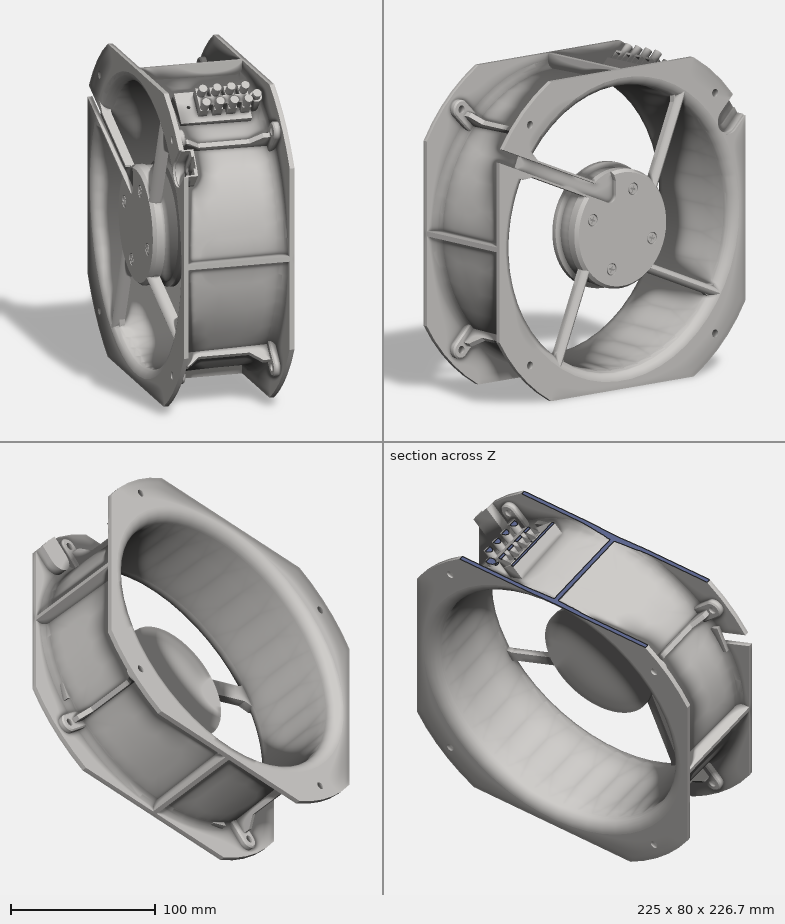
import cadquery as cq
import math

FRAME_WIDTH = 225.0
FRAME_CORNER_RADIUS = 130.0
FRAME_DEPTH = 80.0
FLANGE_THICKNESS = 3.5
HOLE_SPACING = 169.5
HOLE_DIAMETER = 5.5

DUCT_STRAIGHT_HALF = 31.3
DUCT_OUTER_FRONT = 104.0
DUCT_OUTER_REAR = 102.5
DUCT_WALL = 3.8
MOUTH_INNER_RADIUS = 106.8
MOUTH_OUTER_RADIUS = 108.2

RIB_THICKNESS = 3.5
EAR_RADIUS = 6.5
EAR_THICKNESS = 4.5
EAR_CHAMFER = 1.0
BRACE_OUTER_RADIUS = 114.8
BRACE_WAIST_RADIUS = 108.0
BRACE_WAIST_HALF = 18.4
BRACE_SHOULDER_HALF = 27.0

HUB_FACE_RADIUS = 40.0
HUB_PLATE_RADIUS = 42.0
HUB_PLATE_THICKNESS = 8.5
HUB_PLATE_SLOPE = 2.5
HUB_BODY_RADIUS = 41.0
HUB_RIM_RADIUS = 44.3
HUB_RIM_THICKNESS = 3.5
HUB_RIM_SLOPE = 1.5
HUB_DEPTH = 23.0

SPOKE_ANGLE = 67.5
SPOKE_OFFSET = 18.5
SPOKE_WIDTH = 6.8
SPOKE_DEPTH = 8.0
SPOKE_NOSE = 4.0
SPOKE_ARCH_BULGE = 0.7
SPOKE_OUTER_REACH = 104.2
SPOKE_INNER_REACH = 30.0
FOOT_START = 95.0
FOOT_HALF_WIDTH = 6.5
FOOT_DROP = 4.0

CHANNEL_WIDTH = 9.4
CHANNEL_DEPTH = 3.5
CHANNEL_WALL = 1.4
CHANNEL_FLOOR = 3.0
ARM_REACH = 107.0
ARM_FLARE = 4.0
ARM_FLARE_START = 94.0
ARM_FLARE_END = 102.0
POCKET_START_X = -24.0
POCKET_END_X = -6.0
POCKET_END_Z = 35.0
POCKET_TIP_X = -9.6
POCKET_CORNER_RADIUS = 5.0

SCREW_CIRCLE_RADIUS = 28.8
SCREW_ANGLE = 70.0
SCREW_HEAD_RADIUS = 4.4
SCREW_GAP = 0.8
SCREW_RECESS_DEPTH = 1.5
CROSS_LENGTH = 5.0
CROSS_WIDTH = 1.3
CROSS_DEPTH = 1.2

WIRE_X = 97.0
WIRE_Z = 63.7
WIRE_RUNOUT = 56.0
WIRE_MOUTH_RADIUS = 9.7
WIRE_MOUTH_DEPTH = 1.6
WIRE_GROOVE_RADIUS = 8.7
WIRE_GROOVE_DEPTH = 8.0
WIRE_SLOT_RADIUS = 4.2
WIRE_SLOT_DEPTH = 9.6
WIRE_HOUSING_DEPTH = 10.4

TERMINAL_AXIS_ANGLE = 45.0
TERMINAL_PITCH = 10.2
TERMINAL_COUNT = 4
TERMINAL_FIRST_Y = -9.5
BASE_LEFT = -43.8
BASE_RIGHT = -19.6
BASE_TOP = 105.2
BASE_BOTTOM = 90.0
BASE_FRONT_Y = -25.8
BASE_REAR_Y = 25.5
BODY_LEFT = -41.9
BODY_RIGHT = -24.1
BODY_TOP = 113.2
TERMINAL_LENGTH = 6.2
WEB_LEFT = -34.9
WEB_RIGHT = -28.5
WINDOW_BOTTOM = 106.0
WINDOW_TOP = 111.6
WINDOW_LENGTH = 4.8
WINDOW_BACK = -36.0
POST_RADIUS = 2.9
POST_TOP = 121.2
INNER_POST_ACROSS = -37.35
OUTER_POST_ACROSS = -26.6
KNOB_Y = 29.5
KNOB_RADIUS = 4.3
KNOB_ACROSS = -32.5
KNOB_TOP = 112.0
KNOB_TIP_RADIUS = 3.0
KNOB_TIP_TOP = 117.0
PIN_HOLE_ACROSS = -32.0
PIN_HOLE_Y = -17.8
PIN_HOLE_RADIUS = 1.3
PIN_HOLE_DEPTH = 4.0

HALF_DEPTH = FRAME_DEPTH / 2
FRONT_Y = -HALF_DEPTH
FLANGE_INNER_Y = HALF_DEPTH - FLANGE_THICKNESS
HALF_WIDTH = FRAME_WIDTH / 2
QUARTER_ANGLES = [0, 90, 180, 270]
CORNER_ANGLE = 45
ARM_ANGLE = SPOKE_ANGLE + 90
DUCT_INNER_FRONT = DUCT_OUTER_FRONT - DUCT_WALL
DUCT_INNER_REAR = DUCT_OUTER_REAR - DUCT_WALL


def front_plane(y):
    """Sketch plane at height y whose axes are X and Z; positive extrusion goes towards -Y."""
    return cq.Workplane("XZ", origin=(0, y, 0))


def turn(shape, angle):
    """Turn about the fan axis, from +X towards +Z."""
    return shape.rotate((0, 0, 0), (0, 1, 0), -angle)


def box(x_range, y_range, z_range):
    """Box between the given limits."""
    x0, x1 = x_range
    y0, y1 = y_range
    z0, z1 = z_range
    return cq.Workplane("XY").box(x1 - x0, y1 - y0, z1 - z0, centered=False).translate((x0, y0, z0))


def y_cylinder(radius, y0, y1, x=0.0, z=0.0):
    """Cylinder along Y from y0 up to y1."""
    return front_plane(y1).center(x, z).circle(radius).extrude(y1 - y0)


def flange(y0):
    """Square plate whose corners are cut by a large circle."""
    square = box((-HALF_WIDTH, HALF_WIDTH), (y0, y0 + FLANGE_THICKNESS), (-HALF_WIDTH, HALF_WIDTH))
    return square.intersect(y_cylinder(FRAME_CORNER_RADIUS, y0, y0 + FLANGE_THICKNESS))


def arc_middle(wall_radius, wall_y, mouth_radius, mouth_y):
    """Middle point of a quarter ellipse that leaves the wall axially and flares outwards."""
    quarter = math.sqrt(0.5)
    radius = mouth_radius - (mouth_radius - wall_radius) * quarter
    return radius, wall_y + (mouth_y - wall_y) * quarter


def duct_solid():
    """Outside of the tapered wall and its two bellmouths, revolved about Y; it ends inside the flanges."""
    s = DUCT_STRAIGHT_HALF
    root = MOUTH_OUTER_RADIUS
    inner_y = FLANGE_INNER_Y
    end_y = FLANGE_INNER_Y + FLANGE_THICKNESS / 2
    profile = (
        cq.Workplane("XY")
        .moveTo(0, -end_y)
        .lineTo(root, -end_y)
        .lineTo(root, -inner_y)
        .threePointArc(arc_middle(DUCT_OUTER_FRONT, -s, root, -inner_y), (DUCT_OUTER_FRONT, -s))
        .lineTo(DUCT_OUTER_REAR, s)
        .threePointArc(arc_middle(DUCT_OUTER_REAR, s, root, inner_y), (root, inner_y))
        .lineTo(root, end_y)
        .lineTo(0, end_y)
        .close()
    )
    return profile.revolve(360, (0, 0, 0), (0, 1, 0))


def mouth_opening():
    """Flared air passage through both flanges."""
    s = DUCT_STRAIGHT_HALF
    mouth = MOUTH_INNER_RADIUS
    profile = (
        cq.Workplane("XY")
        .moveTo(0, -HALF_DEPTH)
        .lineTo(mouth, -HALF_DEPTH)
        .threePointArc(arc_middle(DUCT_INNER_FRONT, -s, mouth, -HALF_DEPTH), (DUCT_INNER_FRONT, -s))
        .lineTo(DUCT_INNER_REAR, s)
        .threePointArc(arc_middle(DUCT_INNER_REAR, s, mouth, HALF_DEPTH), (mouth, HALF_DEPTH))
        .lineTo(0, HALF_DEPTH)
        .close()
    )
    return profile.revolve(360, (0, 0, 0), (0, 1, 0))


def edge_rib():
    """Flat rib between the flanges in the middle of the +X side."""
    half = RIB_THICKNESS / 2
    return box((DUCT_INNER_FRONT, HALF_WIDTH), (-HALF_DEPTH, HALF_DEPTH), (-half, half))


def corner_brace():
    """Waisted radial plate between the two ears of a corner, drawn along +X."""
    outer = BRACE_OUTER_RADIUS
    waist = BRACE_WAIST_RADIUS
    shoulder_y = BRACE_SHOULDER_HALF
    waist_y = BRACE_WAIST_HALF
    outline = [
        (DUCT_INNER_FRONT, -HALF_DEPTH),
        (outer, -HALF_DEPTH),
        (outer, -shoulder_y),
        (waist, -waist_y),
        (waist, waist_y),
        (outer, shoulder_y),
        (outer, HALF_DEPTH),
        (DUCT_INNER_FRONT, HALF_DEPTH),
    ]
    return cq.Workplane("XY").polyline(outline).close().extrude(RIB_THICKNESS / 2, both=True)


def corner_ear(side):
    """Round-ended boss behind a mounting hole; side is -1 at the front flange, +1 at the rear."""
    hole_radius = HOLE_SPACING / math.sqrt(2)
    inner = DUCT_INNER_FRONT
    tip_y = FLANGE_INNER_Y - EAR_THICKNESS
    ear = (
        front_plane(FLANGE_INNER_Y)
        .moveTo(inner, -EAR_RADIUS)
        .lineTo(hole_radius, -EAR_RADIUS)
        .threePointArc((hole_radius + EAR_RADIUS, 0), (hole_radius, EAR_RADIUS))
        .lineTo(inner, EAR_RADIUS)
        .close()
        .extrude(FLANGE_INNER_Y - tip_y)
        .faces("<Y")
        .chamfer(EAR_CHAMFER)
    )
    if side < 0:
        ear = ear.mirror("XZ")
    return ear


def mounting_holes():
    """Four holes right through both flanges and the ears."""
    half = HOLE_SPACING / 2
    spots = [(sx * half, sz * half) for sx in (-1, 1) for sz in (-1, 1)]
    return front_plane(HALF_DEPTH).pushPoints(spots).circle(HOLE_DIAMETER / 2).extrude(FRAME_DEPTH)


def frame():
    """Two flanges tied together by the duct, ribs, braces and ears, with the air passage cut through."""
    body = duct_solid().union(flange(FRONT_Y)).union(flange(FLANGE_INNER_Y))
    for angle in QUARTER_ANGLES:
        corner = corner_brace().union(corner_ear(1)).union(corner_ear(-1))
        body = body.union(turn(edge_rib(), angle)).union(turn(corner, angle + CORNER_ANGLE))
    body = body.union(wire_housing())
    body = body.union(turn(terminal_block(), TERMINAL_AXIS_ANGLE - 90))
    return body.cut(mouth_opening()).cut(mounting_holes()).cut(wire_groove())


def hub():
    """Solid motor hub: cover plate with a sloped edge, cylindrical body and rear rim, revolved about Y."""
    plate_y = FRONT_Y + HUB_PLATE_THICKNESS
    rear_y = FRONT_Y + HUB_DEPTH
    rim_y = rear_y - HUB_RIM_THICKNESS
    profile = [
        (0, FRONT_Y),
        (HUB_FACE_RADIUS, FRONT_Y),
        (HUB_PLATE_RADIUS, FRONT_Y + HUB_PLATE_SLOPE),
        (HUB_PLATE_RADIUS, plate_y),
        (HUB_BODY_RADIUS, plate_y),
        (HUB_BODY_RADIUS, rim_y - HUB_RIM_SLOPE),
        (HUB_RIM_RADIUS, rim_y),
        (HUB_RIM_RADIUS, rear_y),
        (0, rear_y),
    ]
    return cq.Workplane("XY").polyline(profile).close().revolve(360, (0, 0, 0), (0, 1, 0))


def spoke():
    """Bar with a pointed-arch front along +X, before it is turned to its place."""
    half = SPOKE_WIDTH / 2
    back = FRONT_Y + SPOKE_DEPTH
    nose_y = FRONT_Y + SPOKE_NOSE
    slope = math.atan2(SPOKE_NOSE, half)
    arch_y = FRONT_Y + SPOKE_NOSE / 2 - SPOKE_ARCH_BULGE * math.cos(slope)
    arch_z = half / 2 + SPOKE_ARCH_BULGE * math.sin(slope)
    return (
        cq.Workplane("YZ", origin=(SPOKE_INNER_REACH, 0, 0))
        .center(0, -SPOKE_OFFSET)
        .moveTo(back, -half)
        .lineTo(nose_y, -half)
        .threePointArc((arch_y, -arch_z), (FRONT_Y, 0))
        .threePointArc((arch_y, arch_z), (nose_y, half))
        .lineTo(back, half)
        .close()
        .extrude(SPOKE_OUTER_REACH - SPOKE_INNER_REACH)
    )


def spoke_foot():
    """Wedge-shaped widening of the outer end of a spoke, along +X before turning."""
    half = SPOKE_WIDTH / 2
    outline = [
        (FOOT_START, -half),
        (SPOKE_OUTER_REACH, -FOOT_HALF_WIDTH),
        (SPOKE_OUTER_REACH, FOOT_HALF_WIDTH),
        (FOOT_START, half),
    ]
    back = front_plane(FRONT_Y + SPOKE_DEPTH).center(0, -SPOKE_OFFSET)
    return back.polyline(outline).close().extrude(SPOKE_DEPTH - FOOT_DROP)


def cable_arm():
    """Wide arm that carries the cable channel, flared where it joins the frame, along +X before turning."""
    half = CHANNEL_WIDTH / 2 + CHANNEL_WALL
    wide = half + ARM_FLARE
    outline = [
        (SPOKE_INNER_REACH, -half),
        (ARM_FLARE_START, -half),
        (ARM_FLARE_END, -wide),
        (ARM_REACH, -wide),
        (ARM_REACH, wide),
        (ARM_FLARE_END, wide),
        (ARM_FLARE_START, half),
        (SPOKE_INNER_REACH, half),
    ]
    depth = CHANNEL_DEPTH + CHANNEL_FLOOR
    return front_plane(FRONT_Y + depth).center(0, -SPOKE_OFFSET).polyline(outline).close().extrude(depth)


def cable_channel():
    """Straight groove of the cable arm, open at the frame edge."""
    half = CHANNEL_WIDTH / 2
    z_range = (-SPOKE_OFFSET - half, -SPOKE_OFFSET + half)
    return box((SPOKE_INNER_REACH, FRAME_CORNER_RADIUS), (FRONT_Y, FRONT_Y + CHANNEL_DEPTH), z_range)


def hub_pocket():
    """Widening of the channel in the hub face, open at the hub rim."""
    angle = math.radians(ARM_ANGLE)
    lower_offset = SPOKE_OFFSET - CHANNEL_WIDTH / 2
    corner_z = (POCKET_END_X * math.sin(angle) - lower_offset) / math.cos(angle)
    start_z = (POCKET_START_X * math.sin(angle) - lower_offset) / math.cos(angle)
    outline = [
        (POCKET_START_X, start_z),
        (POCKET_END_X, corner_z),
        (POCKET_END_X, POCKET_END_Z),
        (POCKET_TIP_X, HUB_RIM_RADIUS),
        (POCKET_START_X, HUB_RIM_RADIUS),
    ]
    pocket = front_plane(FRONT_Y + CHANNEL_DEPTH).polyline(outline).close().extrude(CHANNEL_DEPTH)
    corner = cq.selectors.NearestToPointSelector((POCKET_END_X, FRONT_Y, corner_z))
    return pocket.edges("|Y").edges(corner).fillet(POCKET_CORNER_RADIUS)


def screw_recess():
    """Ring gap around a screw head and the cross slot in it, on +X before turning."""
    y0 = FRONT_Y
    y1 = FRONT_Y + SCREW_RECESS_DEPTH
    x = SCREW_CIRCLE_RADIUS
    ring = y_cylinder(SCREW_HEAD_RADIUS, y0, y1, x=x)
    ring = ring.cut(y_cylinder(SCREW_HEAD_RADIUS - SCREW_GAP, y0, y1, x=x))
    long = CROSS_LENGTH / 2
    short = CROSS_WIDTH / 2
    y_range = (y0, y0 + CROSS_DEPTH)
    cross = box((x - long, x + long), y_range, (-short, short))
    cross = cross.union(box((x - short, x + short), y_range, (-long, long)))
    return ring.union(cross)


def add_hub(body):
    """Hub on three spokes and the cable arm, with channel and screw recesses."""
    body = body.union(hub())
    for quarter in QUARTER_ANGLES:
        angle = SPOKE_ANGLE + quarter
        if angle != ARM_ANGLE:
            body = body.union(turn(spoke(), angle)).union(turn(spoke_foot(), angle))
    body = body.union(turn(cable_arm(), ARM_ANGLE))
    body = body.cut(turn(cable_channel(), ARM_ANGLE)).cut(hub_pocket())
    for quarter in QUARTER_ANGLES:
        body = body.cut(turn(screw_recess(), SCREW_ANGLE + quarter))
    return body


def wire_slot(y, radius):
    """U outline on a plane at y: round end at the local origin, open along local +X."""
    plane = front_plane(y).center(WIRE_X, WIRE_Z).transformed(rotate=(0, 0, CORNER_ANGLE))
    return (
        plane.moveTo(WIRE_RUNOUT, radius)
        .lineTo(0, radius)
        .threePointArc((-radius, 0), (0, -radius))
        .lineTo(WIRE_RUNOUT, -radius)
        .close()
    )


def wire_housing():
    """Solid around the wire exit, behind the +X +Z corner of the front flange."""
    y_range = (FRONT_Y, FRONT_Y + WIRE_HOUSING_DEPTH)
    housing = wire_slot(y_range[1], WIRE_MOUTH_RADIUS).extrude(WIRE_HOUSING_DEPTH)
    corner = box((0, HALF_WIDTH), y_range, (0, HALF_WIDTH))
    return housing.intersect(corner).intersect(y_cylinder(FRAME_CORNER_RADIUS, *y_range))


def wire_groove():
    """Stepped groove: wide shallow mouth, deep groove and a narrow slot along its floor."""
    mouth = wire_slot(FRONT_Y + WIRE_MOUTH_DEPTH, WIRE_MOUTH_RADIUS).extrude(WIRE_MOUTH_DEPTH)
    groove = wire_slot(FRONT_Y + WIRE_GROOVE_DEPTH, WIRE_GROOVE_RADIUS).extrude(WIRE_GROOVE_DEPTH)
    slot = wire_slot(FRONT_Y + WIRE_SLOT_DEPTH, WIRE_SLOT_RADIUS).extrude(WIRE_SLOT_DEPTH)
    return mouth.union(groove).union(slot)


def post(across, y, radius, bottom, top):
    """Cylinder along Z between two heights."""
    return cq.Workplane("XY", origin=(across, y, bottom)).circle(radius).extrude(top - bottom)


def terminal(y):
    """One terminal: body with a window in its left side and two screw posts on top."""
    half = TERMINAL_LENGTH / 2
    body = box((BODY_LEFT, BODY_RIGHT), (y - half, y + half), (BASE_TOP, BODY_TOP))
    window_y = (y - WINDOW_LENGTH / 2, y + WINDOW_LENGTH / 2)
    body = body.cut(box((BODY_LEFT, WINDOW_BACK), window_y, (WINDOW_BOTTOM, WINDOW_TOP)))
    for across in (INNER_POST_ACROSS, OUTER_POST_ACROSS):
        body = body.union(post(across, y, POST_RADIUS, BODY_TOP, POST_TOP))
    return body


def terminal_block():
    """Terminal block standing along +Z, before it is leaned over onto the duct."""
    block = box((BASE_LEFT, BASE_RIGHT), (BASE_FRONT_Y, BASE_REAR_Y), (BASE_BOTTOM, BASE_TOP))
    web_rear_y = TERMINAL_FIRST_Y + (TERMINAL_COUNT - 1) * TERMINAL_PITCH
    block = block.union(box((WEB_LEFT, WEB_RIGHT), (TERMINAL_FIRST_Y, web_rear_y), (BASE_TOP, BODY_TOP)))
    for index in range(TERMINAL_COUNT):
        block = block.union(terminal(TERMINAL_FIRST_Y + index * TERMINAL_PITCH))
    block = block.union(post(KNOB_ACROSS, KNOB_Y, KNOB_RADIUS, BASE_BOTTOM, KNOB_TOP))
    block = block.union(post(KNOB_ACROSS, KNOB_Y, KNOB_TIP_RADIUS, KNOB_TOP, KNOB_TIP_TOP))
    pin_bottom = BASE_TOP - PIN_HOLE_DEPTH
    return block.cut(post(PIN_HOLE_ACROSS, PIN_HOLE_Y, PIN_HOLE_RADIUS, pin_bottom, BASE_TOP))


result = add_hub(frame())